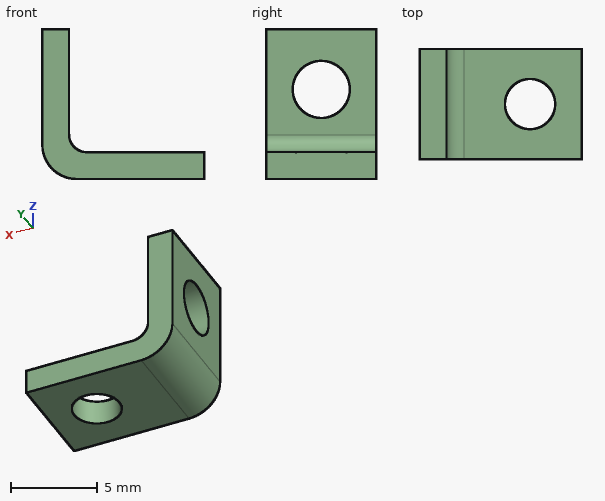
import cadquery as cq

length = 9.4
width = 6.4
height = 8.7
thickness = 1.57

outer_bend_radius = 2.0
inner_bend_radius = 1.0

base_hole_diameter = 2.9
base_hole_end_distance = 3.0
wall_hole_diameter = 3.3
wall_hole_top_distance = 3.5


def bent_plate():
    """L-shaped plate with its outer corner at X = 0, Z = 0, centred on Y = 0."""
    plate = (
        cq.Workplane("XZ")
        .moveTo(0, 0)
        .lineTo(length, 0)
        .lineTo(length, thickness)
        .lineTo(thickness, thickness)
        .lineTo(thickness, height)
        .lineTo(0, height)
        .close()
        .extrude(width / 2, both=True)
    )
    outer_corner = cq.selectors.NearestToPointSelector((0, 0, 0))
    inner_corner = cq.selectors.NearestToPointSelector((thickness, 0, thickness))
    plate = plate.edges("|Y").edges(outer_corner).fillet(outer_bend_radius)
    return plate.edges("|Y").edges(inner_corner).fillet(inner_bend_radius)


def base_hole():
    """Vertical cutter through the base leg."""
    return (
        cq.Workplane("XY")
        .center(length - base_hole_end_distance, 0)
        .circle(base_hole_diameter / 2)
        .extrude(thickness)
    )


def wall_hole():
    """Cutter along X through the upright leg."""
    return (
        cq.Workplane("YZ")
        .center(0, height - wall_hole_top_distance)
        .circle(wall_hole_diameter / 2)
        .extrude(thickness)
    )


result = bent_plate().cut(base_hole()).cut(wall_hole())